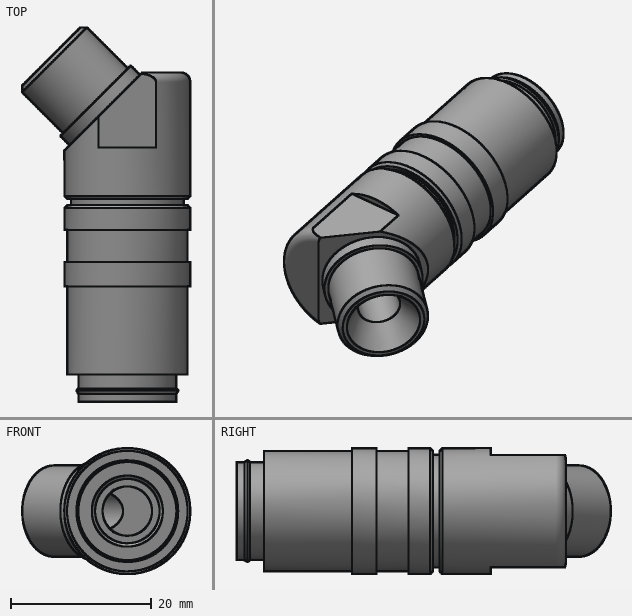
import cadquery as cq
import math

TOTAL_LENGTH = 53.4
FRONT_Y = -TOTAL_LENGTH / 2
BARREL_LENGTH = 47.0
BAND_R = 18.0 / 2
BODY_R = 8.6
GROOVE_R = 8.05
NOSE_R = 7.0
SNAP_RING_R = 7.25
EDGE_CHAMFER = 0.45
REAR_FILLET = 1.45

SNAP_RING_START = 1.1
SNAP_RING_PEAK = 1.6
SNAP_RING_END = 1.9
NOSE_END = 3.9
FRONT_BAND_START = 16.45
FRONT_BAND_END = 19.95
REAR_BAND_START = 24.5
GROOVE_START = 28.0
GROOVE_END = 28.95

FLAT_START = 36.25
FLAT_HALF_HEIGHT = 8.0

MOUTH_R = 4.6
MOUTH_CHAMFER = 0.5
MOUTH_DEPTH = FRONT_BAND_START
BORE_R = 3.5
BORE_DEPTH = 43.3

BRANCH_ANGLE = 45.0
SEAT_DISTANCE = 4.55
COLLAR_R = 7.1
COLLAR_END = 6.4
BRANCH_R = 13.1 / 2
BRANCH_CHAMFER = 0.65
BRANCH_END = 15.3
BRANCH_BORE_R = 3.05
CONE_MOUTH_R = 5.3
CONE_DEPTH = 4.0

CUT_SIZE = 2 * TOTAL_LENGTH

angle = math.radians(BRANCH_ANGLE)

RIM_REACH = (BRANCH_END - BRANCH_CHAMFER) * math.cos(angle) + BRANCH_R * math.sin(angle)
ELBOW_STATION = TOTAL_LENGTH - RIM_REACH

branch_plane = cq.Plane(
    origin=(0, FRONT_Y + ELBOW_STATION, 0),
    xDir=(0, 0, 1),
    normal=(-math.sin(angle), math.cos(angle), 0),
)


def turned(profile):
    """Revolve (radius, station) points about the barrel axis."""
    solid = cq.Workplane("XY").polyline(profile).close().revolve(360, (0, 0, 0), (0, 1, 0))
    return solid.translate((0, FRONT_Y, 0))


def branch_cylinder(radius, start, end):
    """Make a cylinder on the branch axis between two distances from the elbow."""
    return cq.Workplane(branch_plane).workplane(offset=start).circle(radius).extrude(end - start)


def make_barrel():
    front = turned([
        (0, 0),
        (NOSE_R, 0),
        (NOSE_R, SNAP_RING_START),
        (SNAP_RING_R, SNAP_RING_PEAK),
        (NOSE_R, SNAP_RING_END),
        (NOSE_R, NOSE_END),
        (BODY_R, NOSE_END),
        (BODY_R, FRONT_BAND_START),
        (BAND_R, FRONT_BAND_START),
        (BAND_R, FRONT_BAND_END),
        (BODY_R, FRONT_BAND_END),
        (BODY_R, REAR_BAND_START),
        (BAND_R, REAR_BAND_START),
        (BAND_R, GROOVE_START - EDGE_CHAMFER),
        (BAND_R - EDGE_CHAMFER, GROOVE_START),
        (GROOVE_R, GROOVE_START),
        (GROOVE_R, GROOVE_END),
        (0, GROOVE_END),
    ])
    rear = turned([(0, GROOVE_END), (BAND_R, GROOVE_END), (BAND_R, BARREL_LENGTH), (0, BARREL_LENGTH)])
    rear = rear.faces("<Y").edges().chamfer(EDGE_CHAMFER)
    rear = rear.faces(">Y").edges().fillet(REAR_FILLET)
    return front.union(rear)


def cut_flats(body):
    flat = cq.Workplane("XY").box(CUT_SIZE, CUT_SIZE, CUT_SIZE, centered=(True, False, False))
    upper = flat.translate((0, FRONT_Y + FLAT_START, FLAT_HALF_HEIGHT))
    return body.cut(upper).cut(upper.mirror("XY"))


def cut_seat(body):
    """Slice the barrel's rear corner square to the branch axis."""
    beyond = cq.Workplane(branch_plane).workplane(offset=SEAT_DISTANCE).rect(CUT_SIZE, CUT_SIZE)
    return body.cut(beyond.extrude(CUT_SIZE))


def make_branch():
    collar = branch_cylinder(COLLAR_R, SEAT_DISTANCE, COLLAR_END)
    tube = branch_cylinder(BRANCH_R, SEAT_DISTANCE, BRANCH_END)
    end_rim = cq.selectors.DirectionMinMaxSelector(branch_plane.zDir)
    return collar.union(tube.faces(end_rim).edges().chamfer(BRANCH_CHAMFER))


def make_barrel_bore():
    return turned([
        (0, 0),
        (MOUTH_R + MOUTH_CHAMFER, 0),
        (MOUTH_R, MOUTH_CHAMFER),
        (MOUTH_R, MOUTH_DEPTH),
        (BORE_R, MOUTH_DEPTH),
        (BORE_R, BORE_DEPTH),
        (0, BORE_DEPTH),
    ])


def make_branch_bore():
    bore = branch_cylinder(BRANCH_BORE_R, SEAT_DISTANCE / 2, BRANCH_END)
    cone = (
        cq.Workplane(branch_plane)
        .workplane(offset=BRANCH_END - CONE_DEPTH)
        .circle(BRANCH_BORE_R)
        .workplane(offset=CONE_DEPTH)
        .circle(CONE_MOUTH_R)
        .loft(ruled=True)
    )
    return bore.union(cone)


body = cut_seat(cut_flats(make_barrel())).union(make_branch())
result = body.cut(make_barrel_bore()).cut(make_branch_bore())